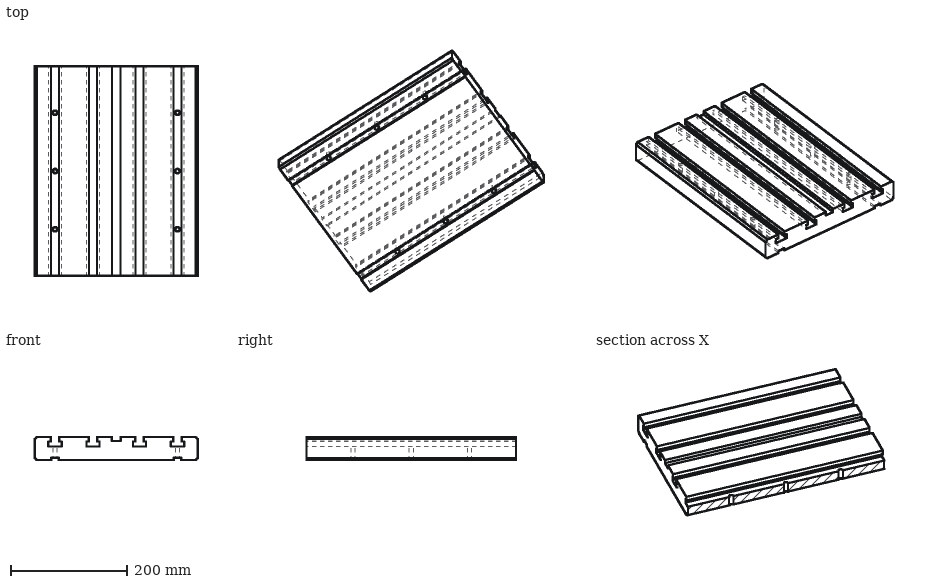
import cadquery as cq

LENGTH = 360.0
WIDTH = 280.0
HEIGHT = 40.0
EDGE_CHAMFER = 4.0

OUTER_SLOT_X = 105.0
INNER_SLOT_X = 40.0
NECK_WIDTH = 14.0
OUTER_HEAD_WIDTH = 23.0
INNER_HEAD_WIDTH = 22.0
T_SLOT_DEPTH = 16.2
HEAD_HEIGHT = 8.0

CENTRE_GROOVE_WIDTH = 15.0
CENTRE_GROOVE_DEPTH = 7.0
BOTTOM_GROOVE_WIDTH = 12.2
BOTTOM_GROOVE_DEPTH = 4.0

HOLE_DIAMETER = 7.2
HOLE_PITCH = 100.0


def channel(x, width, bottom, height):
    """Full-length rectangular channel centred at x."""
    return cq.Workplane("XY").box(width, LENGTH, height, centered=(True, True, False)).translate((x, 0, bottom))


def t_slot(x, head_width):
    """T-slot open at the top face."""
    floor = HEIGHT - T_SLOT_DEPTH
    neck = channel(x, NECK_WIDTH, floor, T_SLOT_DEPTH)
    head = channel(x, head_width, floor, HEAD_HEIGHT)
    return neck.union(head)


plate = cq.Workplane("XY").box(WIDTH, LENGTH, HEIGHT, centered=(True, True, False))
plate = plate.faces("<X or >X").edges("|Y").chamfer(EDGE_CHAMFER)

for side in (-1, 1):
    plate = plate.cut(t_slot(side * OUTER_SLOT_X, OUTER_HEAD_WIDTH))
    plate = plate.cut(t_slot(side * INNER_SLOT_X, INNER_HEAD_WIDTH))

plate = plate.cut(channel(0, CENTRE_GROOVE_WIDTH, HEIGHT - CENTRE_GROOVE_DEPTH, CENTRE_GROOVE_DEPTH))

for groove_x in (-OUTER_SLOT_X, OUTER_SLOT_X):
    plate = plate.cut(channel(groove_x, BOTTOM_GROOVE_WIDTH, 0, BOTTOM_GROOVE_DEPTH))

hole_points = [(x, y) for x in (-OUTER_SLOT_X, OUTER_SLOT_X) for y in (-HOLE_PITCH, 0, HOLE_PITCH)]
holes = cq.Workplane("XY").pushPoints(hole_points).circle(HOLE_DIAMETER / 2).extrude(HEIGHT)

result = plate.cut(holes)